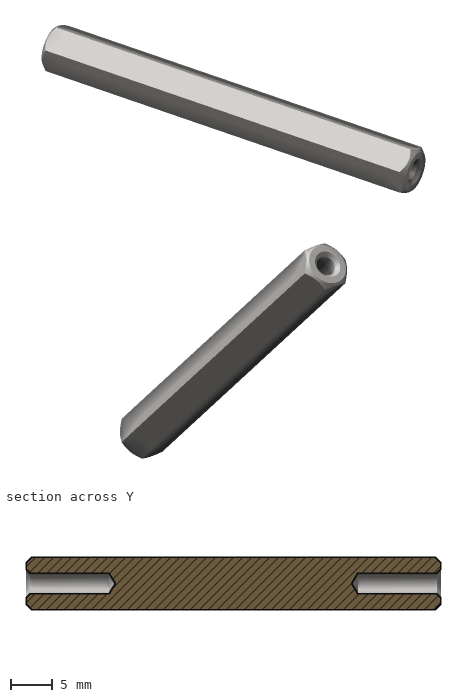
import cadquery as cq
import math

length = 50.0
across_flats = 5.5
across_corners = across_flats / math.cos(math.pi / 6)
end_face_diameter = 5.0
hole_diameter = 2.45
hole_depth = 10.0
drill_point_angle = 118.0
countersink_diameter = 3.4

corner_radius = across_corners / 2
end_face_radius = end_face_diameter / 2
end_chamfer = corner_radius - end_face_radius
hole_radius = hole_diameter / 2
countersink_radius = countersink_diameter / 2
countersink_depth = countersink_radius - hole_radius
drill_point_length = hole_radius / math.tan(math.radians(drill_point_angle / 2))


def revolve_about_x(points):
    """Turn a closed (x, radius) outline around the X axis."""
    return cq.Workplane("XY").polyline(points).close().revolve(360, (0, 0, 0), (1, 0, 0))


def make_hex_bar():
    """Hexagonal bar with corners on +Z and -Z and flats on +Y and -Y."""
    bar = cq.Workplane("YZ").polygon(6, across_corners).extrude(length)
    return bar.rotate((0, 0, 0), (1, 0, 0), 90)


def make_chamfer_envelope():
    """Round bar with conical ends that trims the corners of the hexagon."""
    return revolve_about_x([
        (0, 0),
        (0, end_face_radius),
        (end_chamfer, corner_radius),
        (length - end_chamfer, corner_radius),
        (length, end_face_radius),
        (length, 0),
    ])


def make_hole():
    """Countersunk blind hole with a drill point, entering at x = 0."""
    return revolve_about_x([
        (0, 0),
        (0, countersink_radius),
        (countersink_depth, hole_radius),
        (hole_depth, hole_radius),
        (hole_depth + drill_point_length, 0),
    ])


near_hole = make_hole()
far_hole = near_hole.mirror("YZ").translate((length, 0, 0))

result = (
    make_hex_bar()
    .intersect(make_chamfer_envelope())
    .cut(near_hole)
    .cut(far_hole)
    .translate((-length / 2, 0, 0))
)